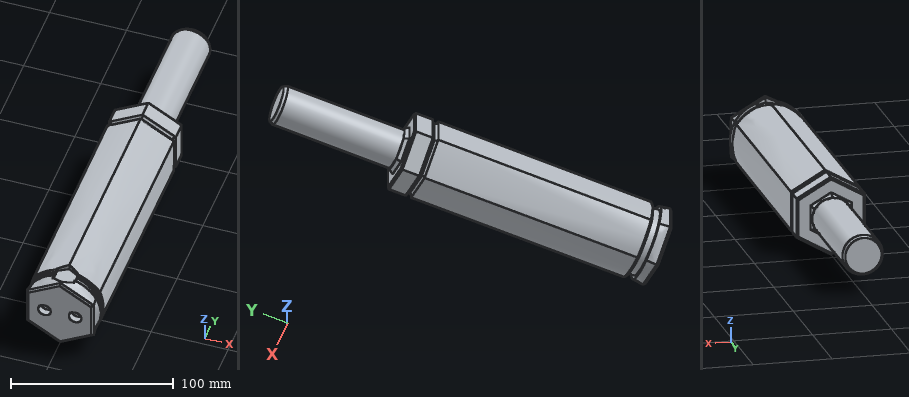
import cadquery as cq
import math

LENGTH = 255.0

HEX_CORNER = 25.0
FLAT_RATIO = math.cos(math.pi / 6)

CAP_BACK = 8.2
GRIP_FRONT = 13.0
GROOVE_CENTER = 157.8
COLLAR_BACK = 171.9
BUSHING_BACK = 175.0

CAP_BACK_RADIUS = 24.0
CAP_CHAMFER = 1.3
PIN_HOLE_RADIUS = 4.0
PIN_HOLE_OFFSET = 10.0
PIN_HOLE_DEPTH = 5.0
PIN_HOLE_TIP = 2.5

SPACER_RADIUS = 21.7

GRIP_FRONT_CORNER = 24.7
GRIP_FRONT_SIDE = 23.7
GRIP_CHAMFER = 1.0

COLLAR_CHAMFER = 1.0
GROOVE_RADIUS = 1.8

BUSHING_CORNER = 15.3
BUSHING_BACK_CORNER = 13.3
SHANK_RADIUS = 12.8
SHANK_CHAMFER_LENGTH = 2.3
SHANK_CHAMFER_DEPTH = 1.3

KEY_CORNER = 8.0
KEY_CENTER_Y = 10.7
KEY_TOP = 21.2
KEY_BOTTOM = 15.3


def cross_section(y):
    """Plane across the axis: local x is X, local y is Z, and the normal is -Y."""
    return cq.Workplane("XZ", origin=(0, y, 0))


def point_at(radius, angle):
    turn = math.radians(angle)
    return (radius * math.cos(turn), radius * math.sin(turn))


def hexagon_corners(corner):
    """Corners of a regular hexagon, the first one on the local y axis."""
    return [point_at(corner, 90 + 60 * i) for i in range(6)]


def hexagon(y, corner):
    return cross_section(y).polyline(hexagon_corners(corner)).close().val()


def six_arc_outline(y, corner, side):
    """Six arcs between hexagon corners, each bulging to the distance side from the axis.

    Equal distances give a circle whose arcs pair with the sides of a hexagon.
    """
    corners = hexagon_corners(corner)
    outline = cross_section(y).moveTo(*corners[0])
    for i in range(6):
        arc_middle = point_at(side, 120 + 60 * i)
        outline = outline.threePointArc(arc_middle, corners[(i + 1) % 6])
    return outline.close().val()


def ruled_solid(front_wire, back_wire):
    return cq.Workplane(cq.Solid.makeLoft([front_wire, back_wire], True))


def key_prism(top):
    outline = [(x, y + KEY_CENTER_Y) for x, y in hexagon_corners(KEY_CORNER)]
    base = cq.Workplane("XY", origin=(0, 0, KEY_BOTTOM))
    return base.polyline(outline).close().extrude(top - KEY_BOTTOM)


def key_pocket():
    """Key shape, continued upward until it is clear of every body."""
    return key_prism(2 * HEX_CORNER)


def pin_hole(x):
    """Blind hole from the front face, ending in a cone."""
    profile = [
        (0, 0),
        (PIN_HOLE_RADIUS, 0),
        (PIN_HOLE_RADIUS, PIN_HOLE_DEPTH),
        (0, PIN_HOLE_DEPTH + PIN_HOLE_TIP),
    ]
    hole = cq.Workplane("XY").polyline(profile).close().revolve(360, (0, 0), (0, 1))
    return hole.translate((x, 0, 0))


def groove_ring():
    """Round bar that follows the hexagon around the axis, mitred at its corners."""
    corners = [cq.Vector(x, GROOVE_CENTER, z) for x, z in hexagon_corners(HEX_CORNER)]
    start = (corners[0] + corners[1]) / 2
    path = cq.Workplane("XY").polyline([start] + corners[1:] + corners[:1]).close()
    profile_plane = cq.Plane(origin=start, xDir=(0, 1, 0), normal=corners[1] - corners[0])
    return cq.Workplane(profile_plane).circle(GROOVE_RADIUS).sweep(path, transition="right")


def make_cap():
    front_corner = HEX_CORNER - CAP_CHAMFER / FLAT_RATIO
    chamfer = ruled_solid(hexagon(0, front_corner), hexagon(CAP_CHAMFER, HEX_CORNER))
    back_circle = six_arc_outline(CAP_BACK, CAP_BACK_RADIUS, CAP_BACK_RADIUS)
    blend = ruled_solid(hexagon(CAP_CHAMFER, HEX_CORNER), back_circle)
    cap = chamfer.union(blend)
    for x in (-PIN_HOLE_OFFSET, PIN_HOLE_OFFSET):
        cap = cap.cut(pin_hole(x))
    return cap.cut(key_pocket())


def make_key():
    return key_prism(KEY_TOP)


def make_spacer():
    disc = cross_section(GRIP_FRONT).circle(SPACER_RADIUS).extrude(GRIP_FRONT - CAP_BACK)
    return disc.cut(key_pocket())


def make_grip():
    chamfer_end = GRIP_FRONT + GRIP_CHAMFER
    front_outline = six_arc_outline(
        GRIP_FRONT, GRIP_FRONT_CORNER - GRIP_CHAMFER, GRIP_FRONT_SIDE - GRIP_CHAMFER
    )
    full_outline = six_arc_outline(chamfer_end, GRIP_FRONT_CORNER, GRIP_FRONT_SIDE)
    chamfer = ruled_solid(front_outline, full_outline)
    handle = ruled_solid(full_outline, hexagon(GROOVE_CENTER, HEX_CORNER))
    return chamfer.union(handle).cut(groove_ring()).cut(key_pocket())


def make_collar():
    chamfer_start = COLLAR_BACK - COLLAR_CHAMFER
    back_corner = HEX_CORNER - COLLAR_CHAMFER / FLAT_RATIO
    prism = ruled_solid(hexagon(GROOVE_CENTER, HEX_CORNER), hexagon(chamfer_start, HEX_CORNER))
    chamfer = ruled_solid(hexagon(chamfer_start, HEX_CORNER), hexagon(COLLAR_BACK, back_corner))
    return prism.union(chamfer).cut(groove_ring())


def make_bushing():
    return ruled_solid(
        hexagon(COLLAR_BACK, BUSHING_CORNER),
        hexagon(BUSHING_BACK, BUSHING_BACK_CORNER),
    )


def make_shank():
    half_profile = [
        (0, BUSHING_BACK),
        (SHANK_RADIUS, BUSHING_BACK),
        (SHANK_RADIUS, LENGTH - SHANK_CHAMFER_LENGTH),
        (SHANK_RADIUS - SHANK_CHAMFER_DEPTH, LENGTH),
        (0, LENGTH),
    ]
    return cq.Workplane("XY").polyline(half_profile).close().revolve(360, (0, 0), (0, 1))


cap = make_cap()
key = make_key()
spacer = make_spacer()
grip = make_grip()
collar = make_collar()
bushing = make_bushing()
shank = make_shank()

result = cq.Compound.makeCompound([
    cap.val(),
    key.val(),
    spacer.val(),
    grip.val(),
    collar.val(),
    bushing.val(),
    shank.val(),
])